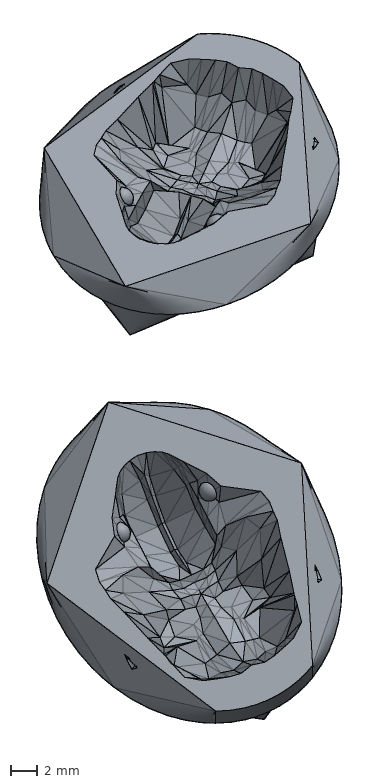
import cadquery as cq
import math

RIM_RADIUS_X = 10.97
RIM_RADIUS_Y = 13.5
RIM_HEIGHT = 2.5
FOOT_RADIUS_X = 10.02
FOOT_RADIUS_Y = 12.5
FOOT_HEIGHT = 4.0
TOP_Z = FOOT_HEIGHT + RIM_HEIGHT

BACK_ANGLE = 90
HALF_TURN = 180
FRONT_ANGLE = 270
FULL_TURN = 360

SHOULDER_Y = -2.5
BROW_Y = 12.52

KNOB_RADIUS = 0.85
KNOB_X = 3.85
KNOB_Y = -4.1
KNOB_DEPTH = 1.3

NICK_MOUTH = [(7.75, 6.7, 5.75), (8.05, 5.1, 5.9), (8.1, 6.3, 5.45)]
NICK_TIP = (7.6, 6.1, 5.7)

CAVITY_ROWS = [
    [(0, 10.4, 0), (1.0, 10.65, 0), (1.9, 10.5, 0), (2.9, 10.2, 0), (3.8, 9.9, 0), (4.85, 9.5, 0)],
    [(0, 9.0, 2.5), (1.0, 9.4, 2.2), (1.9, 9.0, 2.6), (2.9, 9.0, 2.7), (3.6, 9.0, 1.9), (4.95, 9.0, 0)],
    [(0, 6.8, 3.7), (1.2, 7.0, 4.2), (1.8, 7.1, 4.3), (2.3, 7.2, 4.3), (5.1, 7.5, 1.2), (5.3, 7.6, 0)],
    [(0, 4.2, 4.1), (1.3, 4.9, 4.5), (1.7, 5.0, 4.5), (2.0, 5.2, 4.5), (3.5, 4.9, 4.7), (5.45, 6.8, 0)],
    [(0, 3.0, 4.3), (0.9, 3.6, 4.6), (1.6, 3.9, 4.6), (3.3, 4.1, 4.7), (4.5, 4.65, 4.3), (5.5, 6.65, 0)],
    [(0, 2.0, 4.4), (0.8, 2.7, 4.6), (1.6, 2.5, 4.6), (3.1, 2.7, 4.6), (4.4, 3.8, 4.2), (6.0, 4.9, 0)],
    [(0, 1.6, 4.5), (0.7, 1.8, 4.3), (1.6, 1.7, 4.3), (3.0, 2.1, 4.0), (5.0, 2.2, 2.5), (6.65, 2.2, 0)],
    [(0, 0.9, 4.5), (1.0, 1.0, 4.4), (1.8, 0.8, 4.3), (3.7, 0.6, 2.9), (5.8, 0.4, 1.2), (7.05, 0.8, 0)],
    [(0, 0.4, 4.1), (1.0, 0.4, 4.1), (1.8, 0.2, 4.1), (2.85, -0.3, 3.2), (5.2, -0.85, 1), (7.1, 0, 0)],
    [(0, -0.9, 4.8), (0.3, -1.1, 5.3), (2.6, -0.7, 3.4), (2.8, -0.9, 2.2), (3.7, -1.2, 1.8), (7.2, -0.8, 0)],
    [(0, -2.5, 5.4), (0.3, -2.5, 5.8), (2.6, -2.5, 3.7), (2.8, -2.5, 1.9), (4, -2.9, 1.2), (7, -1.85, 0)],
    [(0, -4.6, 4.7), (0.3, -4.6, 5.1), (2.6, -4.1, 3.6), (2.8, -4.0, 1.8), (3.7, -3.9, 1.1), (4.5, -3.6, 0)],
    [(0, -6.3, 2.8), (0.35, -6.3, 3.4), (2.6, -5.6, 2.4), (2.8, -5.5, 1.8), (3.3, -5.1, 0.9), (4, -5, 0)],
    [(0, -7.5, 1.3), (0.4, -7.4, 1.9), (2.2, -6.9, 1.4), (2.5, -6.8, 1), (2.7, -6.7, 0.6), (2.9, -6.6, 0)],
    [(0, -8.65, 0), (0.7, -8.55, 0), (1.3, -8.35, 0), (1.8, -8.05, 0), (2.15, -7.7, 0), (2.5, -7.2, 0)],
]


def oval_point(radius_x, radius_y, angle, z):
    """Point of an oval at a parameter angle in degrees."""
    turn = math.radians(angle)
    return cq.Vector(radius_x * math.cos(turn), radius_y * math.sin(turn), z)


def oval_arc(radius_x, radius_y, start, end, z):
    center = cq.Vector(0, 0, z)
    return cq.Edge.makeEllipse(radius_x, radius_y, center, angle1=start, angle2=end, sense=1)


def flat_face(points):
    return cq.Face.makeFromWires(cq.Wire.makePolygon(points, close=True))


def solid_from(faces):
    return cq.Solid.makeSolid(cq.Shell.makeShell(faces))


def edge_loop_face(edges):
    return cq.Face.makeFromWires(cq.Wire.assembleEdges(edges))


def tapered_oval(radius_x, radius_y, oval_z, flat_z, corners, round_gap=False):
    """Blend a full oval into a straight-sided flat whose corners sit over the oval.

    The corners are angles in rising order. Each corner fans down to the oval as a
    cone, with one flat triangle under each straight side of the flat. With round_gap
    the side from the last corner back to the first stays upright and round.
    """
    following = corners[1:] + [corners[0] + FULL_TURN]
    touches = [(start + end) / 2 for start, end in zip(corners, following)]
    fan_starts = [touches[-1] - FULL_TURN] + touches[:-1]
    fan_ends = touches[:]
    if round_gap:
        fan_starts[0] = corners[0]
        fan_ends[-1] = corners[-1]

    faces = []
    oval_edges = []
    flat_edges = []
    for i, angle in enumerate(corners):
        corner = oval_point(radius_x, radius_y, angle, flat_z)
        fan_arc = oval_arc(radius_x, radius_y, fan_starts[i], fan_ends[i], oval_z)
        oval_edges.append(fan_arc)
        apex = cq.Vertex.makeVertex(*corner.toTuple())
        faces += cq.occ_impl.shapes.loft(fan_arc, apex, ruled=True).Faces()
        if round_gap and i == len(corners) - 1:
            low_arc = oval_arc(radius_x, radius_y, angle, following[i], oval_z)
            high_arc = oval_arc(radius_x, radius_y, angle, following[i], flat_z)
            oval_edges.append(low_arc)
            flat_edges.append(high_arc)
            faces.append(cq.Face.makeRuledSurface(low_arc, high_arc))
        else:
            next_corner = oval_point(radius_x, radius_y, following[i], flat_z)
            touch = oval_point(radius_x, radius_y, touches[i], oval_z)
            flat_edges.append(cq.Edge.makeLine(corner, next_corner))
            faces.append(flat_face([corner, next_corner, touch]))
    return solid_from(faces + [edge_loop_face(oval_edges), edge_loop_face(flat_edges)])


def make_body():
    shoulder = math.degrees(math.asin(SHOULDER_Y / RIM_RADIUS_Y))
    brow = math.degrees(math.asin(BROW_Y / RIM_RADIUS_Y))
    rim_corners = [HALF_TURN - brow, HALF_TURN - shoulder, FRONT_ANGLE]
    rim_corners += [FULL_TURN + shoulder, FULL_TURN + brow]
    rim = tapered_oval(RIM_RADIUS_X, RIM_RADIUS_Y, FOOT_HEIGHT, TOP_Z, rim_corners, round_gap=True)
    foot_corners = [0, BACK_ANGLE, HALF_TURN, FRONT_ANGLE]
    foot = tapered_oval(FOOT_RADIUS_X, FOOT_RADIUS_Y, FOOT_HEIGHT, 0, foot_corners)
    return cq.Workplane(obj=rim).union(cq.Workplane(obj=foot))


def make_cavity_half():
    """Faceted half of the cavity, closed by the flat top and the middle plane."""
    rows = [[cq.Vector(x, y, TOP_Z - depth) for x, y, depth in row] for row in CAVITY_ROWS]
    faces = []
    for upper, lower in zip(rows, rows[1:]):
        for i in range(len(upper) - 1):
            faces.append(flat_face([upper[i], lower[i], lower[i + 1]]))
            faces.append(flat_face([upper[i], lower[i + 1], upper[i + 1]]))
    rim_side = [row[-1] for row in rows[1:-1]]
    faces.append(flat_face(rows[0] + rim_side + rows[-1][::-1]))
    faces.append(flat_face([row[0] for row in rows]))
    return cq.Workplane(obj=solid_from(faces))


def make_knob():
    """Ball left standing out of the cavity wall."""
    return cq.Workplane().sphere(KNOB_RADIUS).translate((KNOB_X, KNOB_Y, TOP_Z - KNOB_DEPTH))


def make_nick():
    corners = [cq.Vector(*point) for point in NICK_MOUTH + [NICK_TIP]]
    faces = [flat_face(corners[:i] + corners[i + 1:]) for i in range(len(corners))]
    return cq.Workplane(obj=solid_from(faces))


def add_mirrored(half):
    return half.union(half.mirror("YZ"))


cavity = add_mirrored(make_cavity_half().cut(make_knob()))
nicks = add_mirrored(make_nick())
result = make_body().cut(cavity).cut(nicks)